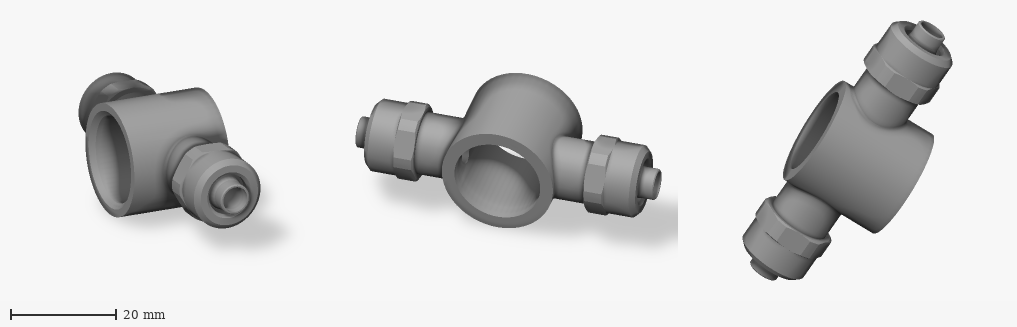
import cadquery as cq
import math


ring_radius = 11.0
ring_bore_radius = 8.5
ring_front_y = -12.5
ring_back_y = 7.5
ring_length = ring_back_y - ring_front_y
ring_bore_chamfer = 1.0

branch_radius = 6.0
branch_fillet = 0.5
passage_radius = 2.5

nut_inner_x = 16.85
nut_length = 10.0
nut_face_x = nut_inner_x + nut_length
nut_radius = 7.0
nut_chamfer = 1.0
hex_length = 4.0
hex_across_flats = 2 * nut_radius
hex_corner_radius = 7.5
hex_chamfer_length = 0.3

recess_radius = 4.0
recess_mouth_radius = 4.6
recess_mouth_depth = 0.6
recess_depth = 2.1

stem_tip_x = 29.5
stem_radius = 3.0
stem_root_radius = 3.5
stem_tip_chamfer = 0.2


def revolve_about_x(profile):
    """Revolve a closed (x, radius) profile a full turn about the X axis."""
    return cq.Workplane("XY").polyline(profile).close().revolve(360, (0, 0, 0), (1, 0, 0))


def make_ring_with_branches():
    """Ring cylinder and both branch tubes, with filleted joints."""
    ring = cq.Workplane("XZ", origin=(0, ring_back_y, 0)).circle(ring_radius).extrude(ring_length)
    branches = (
        cq.Workplane("YZ", origin=(-nut_inner_x, 0, 0))
        .circle(branch_radius)
        .extrude(2 * nut_inner_x)
    )
    joint_reach = branch_radius + branch_fillet
    joint_box = cq.selectors.BoxSelector(
        (-ring_radius - branch_fillet, -joint_reach, -joint_reach),
        (ring_radius + branch_fillet, joint_reach, joint_reach),
        boundingbox=True,
    )
    return ring.union(branches).edges(joint_box).fillet(branch_fillet)


def make_hex():
    """Hexagon with flats facing +Z and -Z, corners rounded and both ends chamfered."""
    across_corners = hex_across_flats / math.cos(math.pi / 6)
    prism = (
        cq.Workplane("YZ", origin=(nut_inner_x, 0, 0))
        .polygon(6, across_corners)
        .extrude(hex_length)
    )
    hex_outer_x = nut_inner_x + hex_length
    corner_limit = revolve_about_x([
        (nut_inner_x, 0),
        (nut_inner_x, nut_radius),
        (nut_inner_x + hex_chamfer_length, hex_corner_radius),
        (hex_outer_x - hex_chamfer_length, hex_corner_radius),
        (hex_outer_x, nut_radius),
        (hex_outer_x, 0),
    ])
    return prism.intersect(corner_limit)


def make_hose_end():
    """Nut and hose stem on the +X side, before the flow passage is drilled."""
    recess_floor_x = nut_face_x - recess_depth
    round_body = revolve_about_x([
        (nut_inner_x, 0),
        (nut_inner_x, nut_radius),
        (nut_face_x - nut_chamfer, nut_radius),
        (nut_face_x, nut_radius - nut_chamfer),
        (nut_face_x, recess_mouth_radius),
        (nut_face_x - recess_mouth_depth, recess_radius),
        (recess_floor_x, recess_radius),
        (recess_floor_x, stem_root_radius),
        (nut_face_x, stem_radius),
        (stem_tip_x - stem_tip_chamfer, stem_radius),
        (stem_tip_x, stem_radius - stem_tip_chamfer),
        (stem_tip_x, 0),
    ])
    return round_body.union(make_hex())


def make_ring_bore():
    """Cutter for the ring bore, chamfered at the -Y end."""
    mouth_radius = ring_bore_radius + ring_bore_chamfer
    return (
        cq.Workplane("XY")
        .polyline([
            (0, ring_front_y),
            (mouth_radius, ring_front_y),
            (ring_bore_radius, ring_front_y + ring_bore_chamfer),
            (ring_bore_radius, ring_back_y),
            (0, ring_back_y),
        ])
        .close()
        .revolve(360, (0, 0, 0), (0, 1, 0))
    )


def make_passage():
    """Cutter for the flow passage through both stems and the ring wall."""
    return cq.Workplane("YZ", origin=(-stem_tip_x, 0, 0)).circle(passage_radius).extrude(2 * stem_tip_x)


hose_end = make_hose_end()
result = make_ring_with_branches().union(hose_end).union(hose_end.mirror("YZ"))
result = result.cut(make_ring_bore()).cut(make_passage())